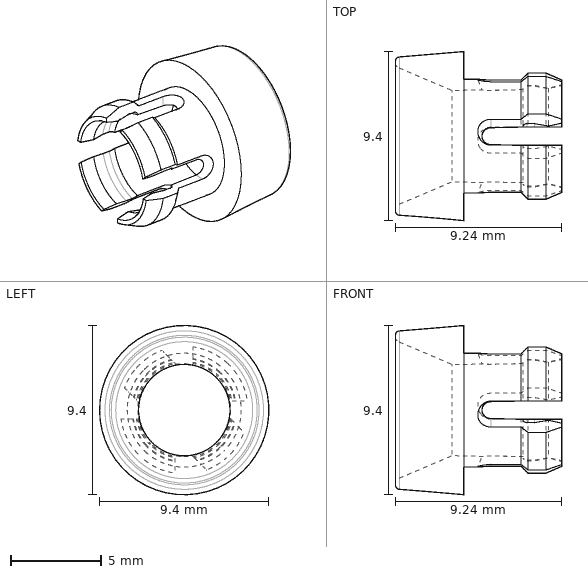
import cadquery as cq
import math

total_length = 9.24

collar_length = 3.8
collar_radius = 4.7
collar_draft = math.radians(4.8)
rim_radius = collar_radius - collar_length * math.tan(collar_draft)
rim_outer_fillet = 0.25

mouth_radius = 3.87
mouth_depth = 3.15
mouth_fillet = 0.27
throat_radius = 2.53

sleeve_radius = 3.16
bore_end_radius = 2.63
bore_end_x = 7.07

lip_radius = 3.54
lip_ramp_start_x = 6.97
lip_flat_start_x = 7.36
lip_flat_end_x = 8.35

groove_radius = 2.86
groove_fillet = groove_radius - bore_end_radius
groove_flat_end_x = 7.72
crest_x = 8.49
crest_radius = 2.7
exit_radius = 2.9

slot_end_center_x = 5.3
slot_straight_offset = 0.5
slot_lean = math.radians(45)
lean_wall_root = 2.08
slot_end_draft = slot_lean / 2
slot_inner_depth = 2.5
slot_outer_depth = 3.8
slot_overrun = 1.0


def edge_radius(edge):
    """Radius of a circular edge, used to tell the rim edges apart."""
    return edge.radius()


def make_body():
    """Revolve the radial section about X and round the rim."""
    section = (
        cq.Workplane("XY")
        .moveTo(0, mouth_radius)
        .lineTo(0, rim_radius)
        .lineTo(collar_length, collar_radius)
        .lineTo(collar_length, sleeve_radius)
        .lineTo(lip_ramp_start_x, sleeve_radius)
        .lineTo(lip_flat_start_x, lip_radius)
        .lineTo(lip_flat_end_x, lip_radius)
        .lineTo(total_length, sleeve_radius)
        .lineTo(total_length, exit_radius)
        .lineTo(crest_x, crest_radius)
        .lineTo(groove_flat_end_x, groove_radius)
        .lineTo(bore_end_x + groove_fillet, groove_radius)
        .radiusArc((bore_end_x, bore_end_radius), -groove_fillet)
        .lineTo(mouth_depth, throat_radius)
        .close()
    )
    body = section.revolve(360, (0, 0, 0), (1, 0, 0))
    outer_rim_edge = max(body.faces("<X").edges().vals(), key=edge_radius)
    body = body.newObject([outer_rim_edge]).fillet(rim_outer_fillet)
    mouth_edge = min(body.faces("<X").edges().vals(), key=edge_radius)
    return body.newObject([mouth_edge]).fillet(mouth_fillet)


def slot_lower_z(depth):
    """Height of the leaning slot wall at the given distance from the axis."""
    return -(depth - lean_wall_root) * math.tan(slot_lean)


def slot_outline(depth):
    """Slot outline with a half-ellipse end, on the -Y side at the given distance from the axis."""
    upper_z = slot_straight_offset
    lower_z = slot_lower_z(depth)
    half_width = (upper_z - lower_z) / 2
    inner_reach = (upper_z - slot_lower_z(slot_inner_depth)) / 2
    end_reach = inner_reach + (depth - slot_inner_depth) * math.tan(slot_end_draft)
    open_end_x = total_length + slot_overrun
    return (
        cq.Workplane("XZ", origin=(0, -depth, 0))
        .moveTo(open_end_x, upper_z)
        .lineTo(slot_end_center_x, upper_z)
        .ellipseArc(end_reach, half_width, 90, 270, sense=1)
        .lineTo(open_end_x, lower_z)
        .close()
        .val()
    )


def make_slot():
    """Cutter for the -Y slot, widening outward."""
    wires = [slot_outline(slot_inner_depth), slot_outline(slot_outer_depth)]
    return cq.Workplane(cq.Solid.makeLoft(wires, True))


def cut_slots(body):
    """Cut mirrored slot pairs, so that two opposite fingers have leaning walls on both sides."""
    first_slot = make_slot()
    turned_slot = first_slot.mirror("XY").rotate((0, 0, 0), (1, 0, 0), 90)
    for slot in (first_slot, turned_slot):
        for angle in (0, 180):
            body = body.cut(slot.rotate((0, 0, 0), (1, 0, 0), angle))
    return body


result = cut_slots(make_body())